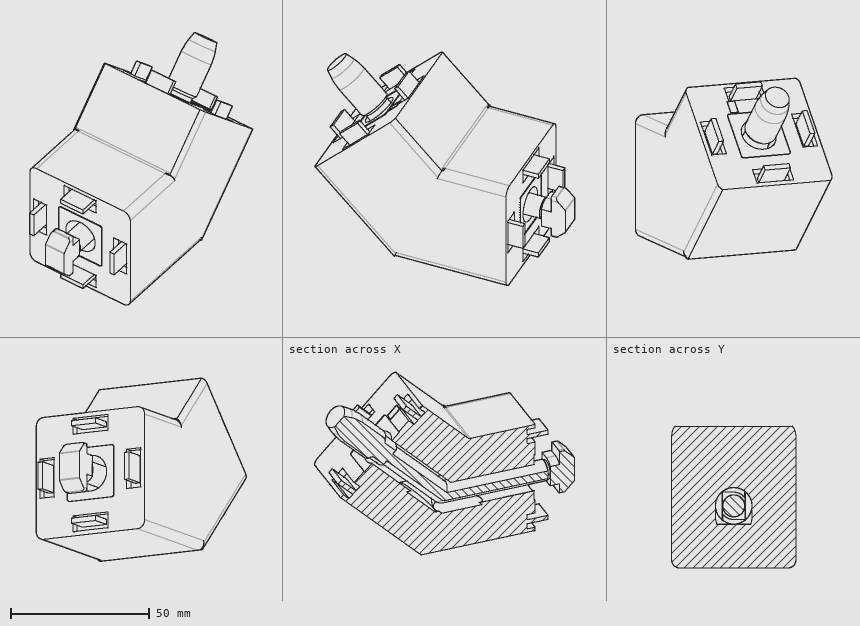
import cadquery as cq
import math

bend_angle = 45.0
arm_width = 45.0
arm_length = 35.2
corner_radius = 3.0
end_arm_corner_rise = 2.5
bend_fillet = 1.2

recess_size = 19.2
recess_corner = 0.9
recess_depth = 0.3
bore_radius = 6.6

tab_offset = 18.0
tab_length = 10.0
tab_thickness = 1.9
tab_height = 5.0
pocket_length = 14.45
pocket_width = 5.8
pocket_depth = 3.0

panel_length = 2.9
panel_width = 4.9
panel_depth = 0.2
panel_offset = 12.55

shaft_radius = 4.0
groove_radius = 3.6
groove_start = 5.0
collar_start = 5.9
head_start = 9.5
head_end = 15.4
head_width = 8.4
head_length = 17.9
head_corner = 1.1
head_tip_length = 9.9
head_edge_break = 0.4
collar_radius = head_tip_length / 2

pin_radius = 6.0
pin_neck_radius = 4.9
pin_neck_depth = 4.8
pin_start = 1.3
pin_taper_start = 15.2
pin_tip_start = 20.2
pin_end = 23.3
pin_shoulder_radius = 5.3
pin_tip_radius = 4.5

bend = math.radians(bend_angle)
x_axis = cq.Vector(1, 0, 0)
front_axis = cq.Vector(0, -1, 0)
end_axis = cq.Vector(0, math.cos(bend), math.sin(bend))
front_face = cq.Plane(origin=front_axis * arm_length, xDir=x_axis, normal=front_axis)
end_face = cq.Plane(origin=end_axis * arm_length, xDir=x_axis, normal=end_axis)

inner_length = arm_length - arm_width / 2 * math.tan(bend / 2)
arm_reach = 2 * arm_length


def half_space(origin, normal):
    """Large block lying on the side of a plane that its normal points to."""
    size = 4 * arm_length
    return cq.Workplane(cq.Plane(origin=origin, xDir=x_axis, normal=normal)).rect(size, size).extrude(size)


def flat_half_width(corner_rise):
    """Half width of the flat between two long-edge roundings of the given height."""
    return arm_width / 2 - corner_radius + math.sqrt(corner_radius**2 - corner_rise**2)


def arm(face, axis, other_axis, corner_rise):
    """Square arm cut at the mitre plane; its long edges are rounded tangent to the sides."""
    half = arm_width / 2
    side_end = half - corner_rise
    top_end = flat_half_width(corner_rise)
    section = (
        cq.Workplane(face)
        .moveTo(half, -side_end)
        .lineTo(half, side_end)
        .radiusArc((top_end, half), -corner_radius)
        .lineTo(-top_end, half)
        .radiusArc((-half, side_end), -corner_radius)
        .lineTo(-half, -side_end)
        .radiusArc((-top_end, -half), -corner_radius)
        .lineTo(top_end, -half)
        .radiusArc((half, -side_end), -corner_radius)
        .close()
    )
    return section.extrude(-arm_reach).intersect(half_space((0, 0, 0), axis - other_axis))


def bend_fill():
    """Strip that rounds the inner corner of the bend."""
    tangent = bend_fillet * math.tan(bend / 2)
    corner_y = inner_length - arm_length
    corner_z = arm_width / 2
    return (
        cq.Workplane("YZ")
        .moveTo(corner_y, corner_z)
        .lineTo(corner_y - tangent, corner_z)
        .radiusArc((corner_y + tangent * math.cos(bend), corner_z + tangent * math.sin(bend)), -bend_fillet)
        .close()
        .extrude(flat_half_width(end_arm_corner_rise), both=True)
    )


def bore(face, other_axis):
    """Bore running from an end face to a plane tangent to the far wall of the other bore."""
    side = front_axis + end_axis
    wall_normal = (side - other_axis * side.dot(other_axis)).normalized()
    cylinder = cq.Workplane(face).circle(bore_radius).extrude(-arm_reach)
    return cylinder.intersect(half_space(wall_normal * -bore_radius, wall_normal))


def face_recess(face):
    """Shallow square recess with rounded corners around the bore."""
    square = cq.Workplane(face).rect(recess_size, recess_size).extrude(-recess_depth)
    return square.edges(cq.selectors.ParallelDirSelector(face.zDir)).fillet(recess_corner)


def at_tab_places(face):
    """Frames of the four tabs, the local X of each pointing away from the centre."""
    return cq.Workplane(face).polarArray(tab_offset, 0, 360, 4)


def tab_pockets(face):
    return at_tab_places(face).rect(pocket_width, pocket_length).extrude(-pocket_depth)


def tabs(face):
    floor = face.origin - face.zDir * pocket_depth
    floor_plane = cq.Plane(origin=floor, xDir=x_axis, normal=face.zDir)
    return at_tab_places(floor_plane).rect(tab_thickness, tab_length).extrude(pocket_depth + tab_height)


def end_panels():
    """Two shallow panels whose inner edges line up with the ends of the ridge-side tab."""
    panel_x = (tab_length + panel_length) / 2
    places = [(panel_x, -panel_offset), (-panel_x, -panel_offset)]
    return cq.Workplane(end_face).pushPoints(places).rect(panel_length, panel_width).extrude(-panel_depth)


def make_housing():
    body = arm(front_face, front_axis, end_axis, corner_radius)
    body = body.union(arm(end_face, end_axis, front_axis, end_arm_corner_rise))
    body = body.union(bend_fill())
    body = body.cut(bore(front_face, end_axis).union(bore(end_face, front_axis)))
    body = body.cut(end_panels())
    for face in (front_face, end_face):
        body = body.cut(face_recess(face)).cut(tab_pockets(face)).union(tabs(face))
    return body


def front_cylinder(radius, start, end):
    """Cylinder on the front axis between two heights above the front face."""
    return cq.Workplane(front_face).workplane(offset=start).circle(radius).extrude(end - start)


def hammer_collar():
    """Square-sided collar, reaching into the head, with two opposite corners rounded."""
    height = head_start + head_edge_break - collar_start
    base = cq.Workplane(front_face).workplane(offset=collar_start)
    collar = base.circle(collar_radius).extrude(height)
    for side in (1, -1):
        quarter = base.center(side * head_width / 4, side * collar_radius / 2)
        collar = collar.union(quarter.rect(head_width / 2, collar_radius).extrude(height))
    return collar.intersect(base.rect(head_width, head_tip_length).extrude(height))


def hammer_head():
    """Head of the T, with rounded corners and broken edges, sloping towards a flat tip."""
    height = head_end - head_start
    slope = (head_length - head_tip_length) / 2
    base = cq.Workplane(front_face).workplane(offset=head_start)
    block = base.rect(head_width, head_length).extrude(height)
    block = block.edges("|Z and >Y").chamfer(head_edge_break).edges("|Y").fillet(head_corner)
    profile = (
        cq.Workplane("YZ")
        .moveTo(-arm_length - head_start, -head_length / 2)
        .lineTo(-arm_length - head_end + slope, -head_length / 2)
        .lineTo(-arm_length - head_end, -head_tip_length / 2)
        .lineTo(-arm_length - head_end, head_tip_length / 2)
        .lineTo(-arm_length - head_end + slope, head_length / 2)
        .lineTo(-arm_length - head_start, head_length / 2)
        .close()
        .extrude(head_width, both=True)
        .edges("|X and (not >Y)")
        .fillet(head_edge_break)
    )
    return block.intersect(profile)


def pin():
    """Turned pin with a chamfered base and a rounded, tapering tip, on a shaft from the elbow."""
    taper = pin_tip_start - pin_taper_start
    drop = pin_radius - pin_shoulder_radius
    arc_radius = (taper**2 + drop**2) / (2 * drop)
    axial_plane = cq.Plane(origin=end_face.origin, xDir=x_axis, normal=end_face.yDir * -1)
    return (
        cq.Workplane(axial_plane)
        .moveTo(0, -arm_length)
        .lineTo(shaft_radius, -arm_length)
        .lineTo(shaft_radius, -pin_neck_depth)
        .lineTo(pin_neck_radius, -pin_neck_depth)
        .lineTo(pin_neck_radius, pin_start)
        .lineTo(pin_radius, pin_start + pin_radius - pin_neck_radius)
        .lineTo(pin_radius, pin_taper_start)
        .radiusArc((pin_shoulder_radius, pin_tip_start), -arc_radius)
        .lineTo(pin_tip_radius, pin_end)
        .lineTo(0, pin_end)
        .close()
        .revolve(360, (0, 0, 0), (0, 1, 0))
    )


def make_fastener():
    """Hammer head and pin joined by a bent shaft that runs freely through the bores."""
    body = pin().union(cq.Workplane().sphere(shaft_radius))
    body = body.union(front_cylinder(shaft_radius, -arm_length, groove_start))
    body = body.union(front_cylinder(groove_radius, groove_start, collar_start))
    return body.union(hammer_collar()).union(hammer_head())


housing = make_housing()
fastener = make_fastener()
result = cq.Compound.makeCompound([housing.val(), fastener.val()])